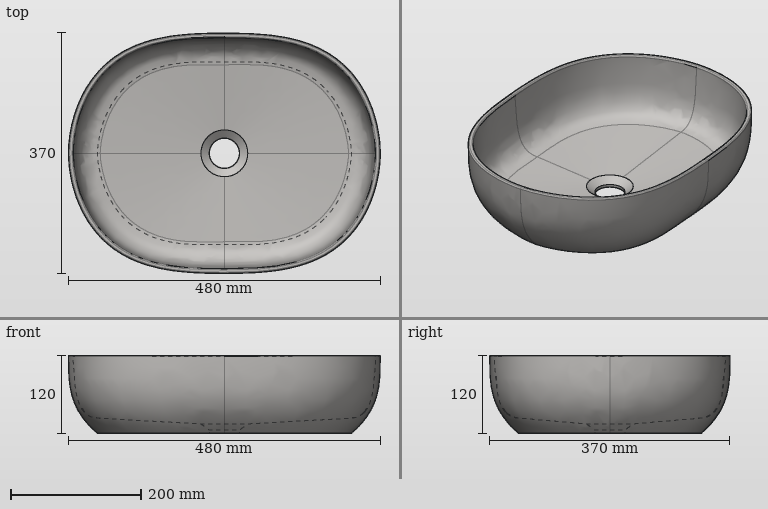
import cadquery as cq

length = 480.0
width = 370.0
height = 120.0

foot_inset = 44.5
rim_width = 8.0
floor_inset = 49.0
rim_rounding = 2.0

floor_edge_height = 23.0
drain_ring_height = 14.5
drain_hole_top_height = 5.0
drain_ring_radius = 36.0
drain_hole_radius = 23.0

rim_controls = [(1, 0.39), (0.83, 0.94), (0.47, 1)]
floor_controls = [(1, 0.17), (0.92, 1.13), (0.33, 1)]

outer_wall_power = 3.2
inner_wall_upper_handle = 0.7
inner_wall_lower_handle = 0.2
wall_steps = 8


def oval_wire(inset, z):
    """Closed oval of four mirrored quarters, changing from soft rim to stadium-like floor."""
    half_x = length / 2 - inset
    half_y = width / 2 - inset
    blend = inset / floor_inset
    points = [(half_x, 0)]
    for (rim_x, rim_y), (floor_x, floor_y) in zip(rim_controls, floor_controls):
        x_fraction = rim_x + blend * (floor_x - rim_x)
        y_fraction = rim_y + blend * (floor_y - rim_y)
        points.append((half_x * x_fraction, half_y * y_fraction))
    points.append((0, half_y))

    edges = []
    for sign_x, sign_y in [(1, 1), (-1, 1), (-1, -1), (1, -1)]:
        quarter = [cq.Vector(sign_x * x, sign_y * y, z) for x, y in points]
        if sign_x * sign_y < 0:
            quarter.reverse()
        edges.append(cq.Edge.makeBezier(quarter))
    return cq.Wire.assembleEdges(edges)


def circle_wire(radius, z):
    """Full circle, concentric with the drain."""
    return cq.Wire.makeCircle(radius, cq.Vector(0, 0, z), cq.Vector(0, 0, 1))


def outer_body():
    """Solid bowl that curves in from the rim to the flat foot."""
    sections = []
    for step in range(wall_steps + 1):
        depth = step / wall_steps
        inset = foot_inset * depth**outer_wall_power
        sections.append(oval_wire(inset, height * (1 - depth)))
    return cq.Workplane(cq.Solid.makeLoft(sections))


def basin_cavity():
    """Hollow with steep walls that sweep round into the floor."""
    sections = []
    for step in range(wall_steps + 1):
        s = step / wall_steps
        first_weight = 3 * s * (1 - s) ** 2
        second_weight = 3 * s**2 * (1 - s)
        inward = second_weight * inner_wall_lower_handle + s**3
        downward = first_weight * inner_wall_upper_handle + second_weight + s**3
        inset = rim_width + inward * (floor_inset - rim_width)
        sections.append(oval_wire(inset, height - downward * (height - floor_edge_height)))
    return cq.Workplane(cq.Solid.makeLoft(sections))


def floor_slope():
    """Shallow funnel from the oval floor edge to the round drain ring."""
    edge = oval_wire(floor_inset, floor_edge_height)
    ring = circle_wire(drain_ring_radius, drain_ring_height)
    return cq.Workplane(cq.Solid.makeLoft([edge, ring], True))


def drain():
    """Conical drain seat above a straight through hole."""
    seat = cq.Workplane(
        cq.Solid.makeCone(
            drain_hole_radius,
            drain_ring_radius,
            drain_ring_height - drain_hole_top_height,
            pnt=cq.Vector(0, 0, drain_hole_top_height),
        )
    )
    hole = cq.Workplane("XY").circle(drain_hole_radius).extrude(drain_ring_height)
    return seat.union(hole)


bowl = outer_body().cut(basin_cavity()).cut(floor_slope()).cut(drain())
result = bowl.faces(">Z").edges().fillet(rim_rounding)